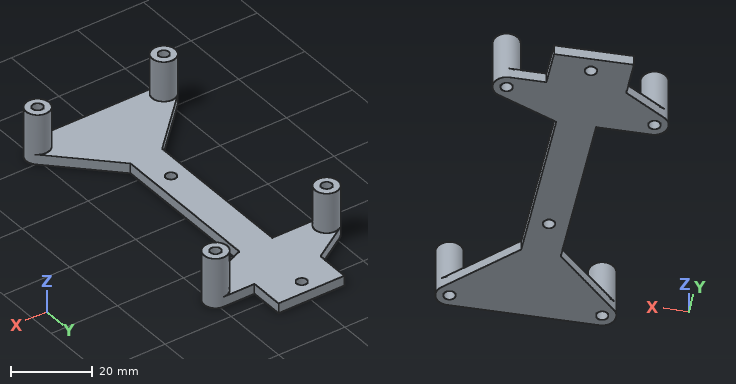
import cadquery as cq
import math

standoff_diameter = 7.0
hole_diameter = 3.0
plate_thickness = 3.0
total_height = 15.0
total_length = 91.8
standoff_span_x = 38.2
upper_left_y = 68.4
upper_right_y = 74.7
strip_width = 10.0
tab_width = 20.0
center_x = 18.9
foot_left_y = 18.6
foot_right_y = 19.2
lower_plate_hole_y = 29.3
upper_plate_hole_y = 84.2

radius = standoff_diameter / 2
lower_left = (0, 0)
lower_right = (standoff_span_x, 0)
upper_left = (0, upper_left_y)
upper_right = (standoff_span_x, upper_right_y)
standoffs = [lower_left, lower_right, upper_left, upper_right]
plate_holes = [(center_x, lower_plate_hole_y), (center_x, upper_plate_hole_y)]

strip_left = center_x - strip_width / 2
strip_right = center_x + strip_width / 2
tab_left = center_x - tab_width / 2
tab_right = center_x + tab_width / 2
top_y = total_length - radius
shoulder_y = upper_right_y + radius
arm_bottom_y = upper_left_y - radius


def on_circle(center, angle):
    """Point on the standoff circle at an angle in radians."""
    return (center[0] + radius * math.cos(angle), center[1] + radius * math.sin(angle))


def tangent_angle(center, corner, side):
    """Angle where a line from corner touches the circle; side is 1 or -1."""
    dx = corner[0] - center[0]
    dy = corner[1] - center[1]
    return math.atan2(dy, dx) + side * math.acos(radius / math.hypot(dx, dy))


def make_plate():
    """Plate whose edges run tangent into the four standoff circles."""
    down = -math.pi / 2
    up = math.pi / 2
    foot_left = (strip_left, foot_left_y)
    foot_right = (strip_right, foot_right_y)
    arm_right = (strip_right, arm_bottom_y)
    shoulder_left = (tab_left, shoulder_y)

    lower_right_end = tangent_angle(lower_right, foot_right, -1)
    upper_right_start = tangent_angle(upper_right, arm_right, 1)
    upper_left_start = tangent_angle(upper_left, shoulder_left, 1)
    lower_left_start = tangent_angle(lower_left, foot_left, 1)

    return (
        cq.Workplane("XY")
        .moveTo(*on_circle(lower_left, down))
        .lineTo(*on_circle(lower_right, down))
        .threePointArc(on_circle(lower_right, 0), on_circle(lower_right, lower_right_end))
        .lineTo(*foot_right)
        .lineTo(*arm_right)
        .lineTo(*on_circle(upper_right, upper_right_start))
        .threePointArc(on_circle(upper_right, 0), on_circle(upper_right, up))
        .lineTo(tab_right, shoulder_y)
        .lineTo(tab_right, top_y)
        .lineTo(tab_left, top_y)
        .lineTo(*shoulder_left)
        .lineTo(*on_circle(upper_left, upper_left_start))
        .threePointArc(on_circle(upper_left, math.pi), on_circle(upper_left, down))
        .lineTo(strip_left, arm_bottom_y)
        .lineTo(*foot_left)
        .lineTo(*on_circle(lower_left, lower_left_start))
        .threePointArc(on_circle(lower_left, math.pi), on_circle(lower_left, down))
        .close()
        .extrude(plate_thickness)
    )


def make_cylinders(points, diameter):
    """Full-height cylinders standing on the underside plane."""
    return cq.Workplane("XY").pushPoints(points).circle(diameter / 2).extrude(total_height)


body = make_plate().union(make_cylinders(standoffs, standoff_diameter))
result = body.cut(make_cylinders(standoffs + plate_holes, hole_diameter))